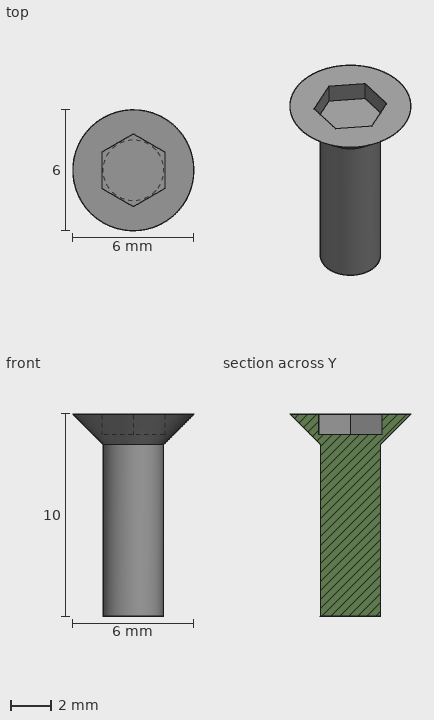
import cadquery as cq

total_length = 10.0
shank_diameter = 3.0
head_diameter = 2 * shank_diameter
head_height = (head_diameter - shank_diameter) / 2
socket_corner_diameter = 3.6
socket_depth = 1.0

shank_radius = shank_diameter / 2
head_radius = head_diameter / 2

screw = (
    cq.Workplane("XZ")
    .moveTo(0, 0)
    .lineTo(head_radius, 0)
    .lineTo(shank_radius, -head_height)
    .lineTo(shank_radius, -total_length)
    .lineTo(0, -total_length)
    .close()
    .revolve(360, (0, 0), (0, 1))
)

socket = (
    cq.Workplane("XY")
    .polygon(6, socket_corner_diameter)
    .extrude(-socket_depth)
    .rotate((0, 0, 0), (0, 0, 1), 90)
)

result = screw.cut(socket)